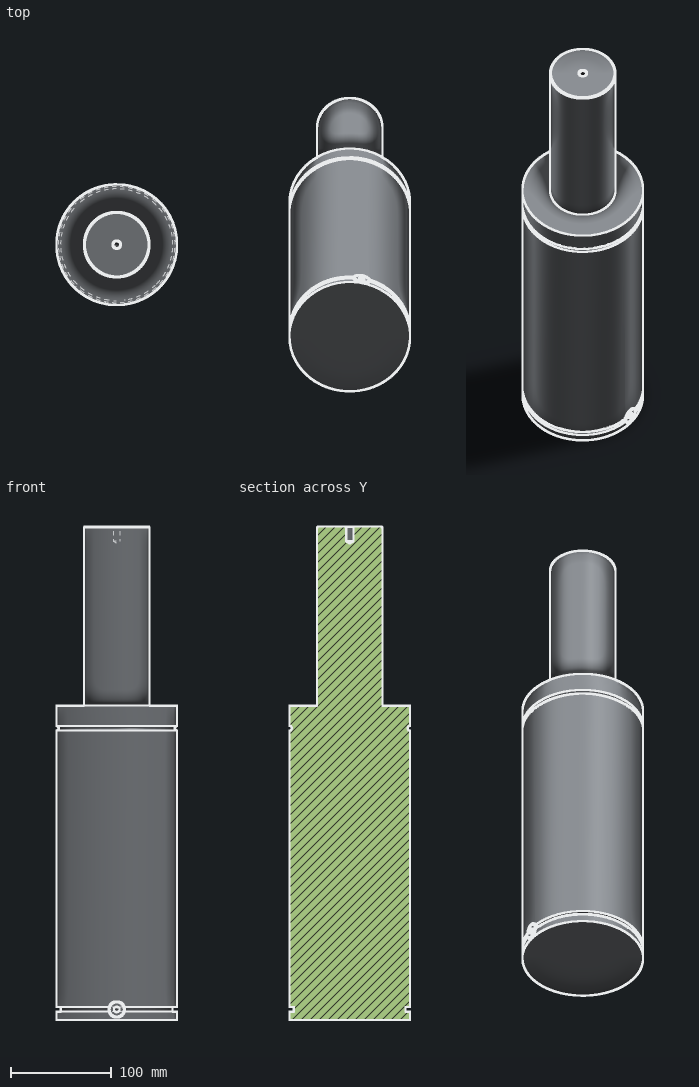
import cadquery as cq
import math

total_height = 490.0
body_diameter = 120.0
body_height = 312.0
rod_diameter = 65.0
rod_chamfer = 1.0

upper_groove_height = 289.5
upper_groove_radius = 2.2

lower_groove_bottom = 8.5
lower_groove_width = 4.5
lower_groove_depth = 4.5

plug_height = lower_groove_bottom + lower_groove_width / 2
plug_diameter = 16.0
plug_face_diameter = 14.0
plug_chamfer = (plug_diameter - plug_face_diameter) / 2
plug_length = 10.0
socket_corner_diameter = 6.0
socket_depth = 4.0

rod_hole_diameter = 7.0
rod_hole_mouth_diameter = 8.5
rod_hole_depth = 14.5
rod_hole_tip_angle = 118.0

body_radius = body_diameter / 2
rod_length = total_height - body_height


def make_body():
    """Cylinder with a half-round groove near the top and a square groove near the bottom."""
    body = cq.Workplane("XY").circle(body_radius).extrude(body_height)
    upper_groove = cq.Workplane("XY").add(
        cq.Solid.makeTorus(body_radius, upper_groove_radius, cq.Vector(0, 0, upper_groove_height))
    )
    lower_groove = (
        cq.Workplane("XY", origin=(0, 0, lower_groove_bottom))
        .circle(body_radius)
        .circle(body_radius - lower_groove_depth)
        .extrude(lower_groove_width)
    )
    return body.cut(upper_groove).cut(lower_groove)


def make_rod():
    """Piston rod standing on the body, chamfered at its free end."""
    rod = cq.Workplane("XY", origin=(0, 0, body_height)).circle(rod_diameter / 2).extrude(rod_length)
    return rod.faces(">Z").chamfer(rod_chamfer)


def make_plug_seat(mouth):
    """Cutter for the bore that takes the plug; it clears the body around the plug's chamfer."""
    return cq.Workplane(mouth).circle(plug_diameter / 2).extrude(plug_length)


def make_plug(mouth):
    """Plug filling its bore and bridging the groove, with a chamfered face and a hexagon socket."""
    plug = cq.Workplane(mouth).circle(plug_diameter / 2).extrude(plug_length)
    plug = plug.faces("<Y").chamfer(plug_chamfer)
    socket = (
        cq.Workplane(mouth)
        .transformed(rotate=(0, 0, 90))
        .polygon(6, socket_corner_diameter)
        .extrude(socket_depth)
    )
    return plug.cut(socket)


def make_rod_hole():
    """Cutter for the blind hole in the rod end, revolved about the Z axis."""
    radius = rod_hole_diameter / 2
    mouth_radius = rod_hole_mouth_diameter / 2
    chamfer_bottom = total_height - (mouth_radius - radius)
    wall_bottom = total_height - rod_hole_depth
    tip = wall_bottom - radius / math.tan(math.radians(rod_hole_tip_angle / 2))
    half_section = [
        (0, total_height),
        (mouth_radius, total_height),
        (radius, chamfer_bottom),
        (radius, wall_bottom),
        (0, tip),
    ]
    return cq.Workplane("XZ").polyline(half_section).close().revolve(360, (0, 0), (0, 1))


plug_mouth = cq.Plane(origin=(0, -body_radius, plug_height), xDir=(1, 0, 0), normal=(0, 1, 0))

result = (
    make_body()
    .union(make_rod())
    .cut(make_plug_seat(plug_mouth))
    .union(make_plug(plug_mouth))
    .cut(make_rod_hole())
)